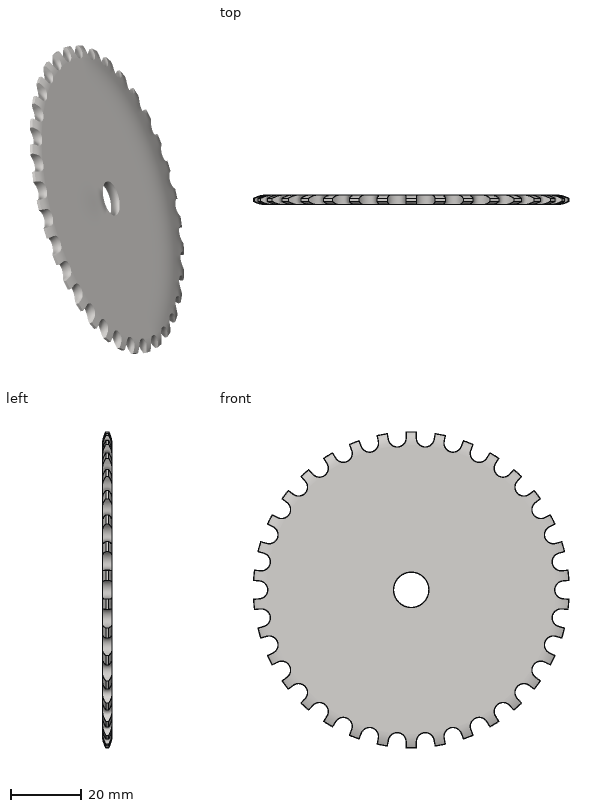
import cadquery as cq
import math

TOOTH_COUNT = 34
THICKNESS = 2.8
TIP_RADIUS = 45.0
BORE_DIAMETER = 10.0
CHAIN_PITCH = 8.0
SEAT_RADIUS = 2.5
SIDE_RELIEF_RADIUS = 8.0
SIDE_RELIEF_DEPTH = 1.0
CUT_MARGIN = 0.9

PITCH_ANGLE = 360.0 / TOOTH_COUNT
HALF_PITCH = math.radians(PITCH_ANGLE / 2)
SEAT_CENTER_RADIUS = CHAIN_PITCH / (2 * math.sin(HALF_PITCH))

HALF_THICKNESS = THICKNESS / 2
TIP_HALF_THICKNESS = HALF_THICKNESS - SIDE_RELIEF_DEPTH
RELIEF_CENTER_Y = HALF_THICKNESS - SIDE_RELIEF_RADIUS
FACE_RADIUS = TIP_RADIUS - math.sqrt(
    SIDE_RELIEF_RADIUS**2 - (SIDE_RELIEF_RADIUS - SIDE_RELIEF_DEPTH)**2
)


def make_blank():
    """Bored disc with a rim rounded on both sides, revolved about Y."""
    bore_radius = BORE_DIAMETER / 2
    mid_angle = math.asin((TIP_RADIUS - FACE_RADIUS) / SIDE_RELIEF_RADIUS) / 2
    mid_radius = FACE_RADIUS + SIDE_RELIEF_RADIUS * math.sin(mid_angle)
    mid_y = RELIEF_CENTER_Y + SIDE_RELIEF_RADIUS * math.cos(mid_angle)
    return (
        cq.Workplane("XY")
        .moveTo(bore_radius, -HALF_THICKNESS)
        .lineTo(FACE_RADIUS, -HALF_THICKNESS)
        .threePointArc((mid_radius, -mid_y), (TIP_RADIUS, -TIP_HALF_THICKNESS))
        .lineTo(TIP_RADIUS, TIP_HALF_THICKNESS)
        .threePointArc((mid_radius, mid_y), (FACE_RADIUS, HALF_THICKNESS))
        .lineTo(bore_radius, HALF_THICKNESS)
        .close()
        .revolve(360, (0, 0, 0), (0, 1, 0))
    )


def make_gap_cutter():
    """Tooth gap centred on +Z: round seat with flanks parallel to the adjacent tooth axes."""
    flank_x = SEAT_RADIUS * math.cos(HALF_PITCH)
    flank_z = SEAT_CENTER_RADIUS - SEAT_RADIUS * math.sin(HALF_PITCH)
    outer_z = TIP_RADIUS + CUT_MARGIN
    outer_x = flank_x + (outer_z - flank_z) * math.tan(HALF_PITCH)
    return (
        cq.Workplane("XZ")
        .moveTo(-outer_x, outer_z)
        .lineTo(-flank_x, flank_z)
        .threePointArc((0, SEAT_CENTER_RADIUS - SEAT_RADIUS), (flank_x, flank_z))
        .lineTo(outer_x, outer_z)
        .close()
        .extrude(HALF_THICKNESS + CUT_MARGIN, both=True)
    )


def cut_gaps(blank):
    """Cut every tooth gap, half a pitch away from the tooth on +Z."""
    gap = make_gap_cutter()
    gaps = [
        gap.rotate((0, 0, 0), (0, 1, 0), (index + 0.5) * PITCH_ANGLE).val()
        for index in range(TOOTH_COUNT)
    ]
    return blank.cut(cq.Workplane(cq.Compound.makeCompound(gaps)))


result = cut_gaps(make_blank())